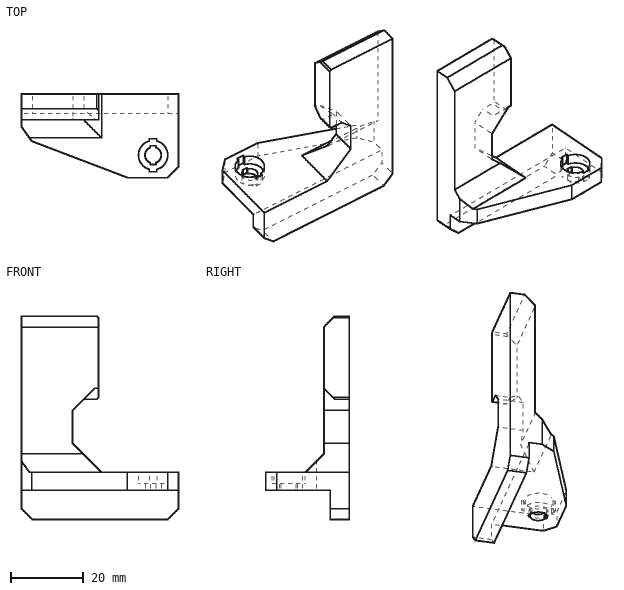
import cadquery as cq

WIDTH = 43.1
DEPTH = 23.0
HEIGHT = 55.8
BEVEL = 3.0

FOOT_THICKNESS = 5.3
SHELF_BOTTOM = 8.0
SHELF_THICKNESS = 5.0
SHELF_TOP = SHELF_BOTTOM + SHELF_THICKNESS
SIDE_DEPTH = 9.05
CORNER_X = 2.85
CORNER_DEPTH = 13.0
FRONT_EDGE_START = 29.05

UPRIGHT_THICKNESS = 7.05
GUSSET_SIZE = 5.0
WAIST_WIDTH = 14.05
WAIST_BOTTOM = 20.9
WAIST_TOP = 29.95

HEAD_WIDTH = 21.15
HEAD_BOTTOM = 33.0
HEAD_CORNER = 0.5

HOLE_X = 36.1
HOLE_Y = -16.8
BORE_DIAMETER = 4.4
BORE_KEY_WIDTH = 1.5
BORE_KEY_LENGTH = 5.0
RECESS_DIAMETER = 8.05
RECESS_KEY_WIDTH = 2.0
RECESS_KEY_LENGTH = 9.1
RECESS_DEPTH = 3.0


def extrude_forward(points, depth):
    """Extrude an (X, Z) outline from the back face toward -Y."""
    return cq.Workplane("XZ").polyline(points).close().extrude(depth)


def extrude_across(points, width):
    """Extrude a (Y, Z) outline from the left edge toward +X."""
    return cq.Workplane("YZ").polyline(points).close().extrude(width)


def make_foot():
    outline = [
        (BEVEL, 0),
        (WIDTH - BEVEL, 0),
        (WIDTH, BEVEL),
        (WIDTH, SHELF_TOP),
        (0, SHELF_TOP),
        (0, BEVEL),
    ]
    return extrude_forward(outline, FOOT_THICKNESS)


def make_plan(bottom, height):
    """Prism with the plan outline of the shelf."""
    outline = [
        (0, 0),
        (0, -SIDE_DEPTH),
        (CORNER_X, -CORNER_DEPTH),
        (FRONT_EDGE_START, -DEPTH),
        (WIDTH - BEVEL, -DEPTH),
        (WIDTH, -DEPTH + BEVEL),
        (WIDTH, 0),
    ]
    return cq.Workplane("XY").workplane(offset=bottom).polyline(outline).close().extrude(height)


def make_upright():
    """Waisted column with 45 degree flares, a top bevel and a front gusset."""
    flare_x = WAIST_WIDTH + WAIST_BOTTOM - SHELF_TOP
    front_outline = [
        (0, SHELF_BOTTOM),
        (flare_x, SHELF_BOTTOM),
        (flare_x, SHELF_TOP),
        (WAIST_WIDTH, WAIST_BOTTOM),
        (WAIST_WIDTH, WAIST_TOP),
        (HEAD_WIDTH, WAIST_TOP + HEAD_WIDTH - WAIST_WIDTH),
        (HEAD_WIDTH, HEIGHT),
        (0, HEIGHT),
    ]
    gusset_front = UPRIGHT_THICKNESS + GUSSET_SIZE
    side_outline = [
        (0, SHELF_BOTTOM),
        (-gusset_front, SHELF_BOTTOM),
        (-gusset_front, SHELF_TOP),
        (-UPRIGHT_THICKNESS, SHELF_TOP + GUSSET_SIZE),
        (-UPRIGHT_THICKNESS, HEIGHT - BEVEL),
        (-UPRIGHT_THICKNESS + BEVEL, HEIGHT),
        (0, HEIGHT),
    ]
    column = extrude_forward(front_outline, gusset_front)
    column = column.intersect(extrude_across(side_outline, WIDTH))
    return column.intersect(make_plan(0, HEIGHT)).cut(make_head_corner_cutter())


def make_head_corner_cutter():
    """Wedge that bevels the top right corner of the head."""
    outline = [
        (HEAD_WIDTH - HEAD_CORNER, HEIGHT),
        (HEAD_WIDTH, HEIGHT),
        (HEAD_WIDTH, HEIGHT - HEAD_CORNER),
    ]
    return extrude_forward(outline, UPRIGHT_THICKNESS)


def make_head():
    """Head block with bevelled front edges and small right corner bevels."""
    front_outline = [
        (0, HEAD_BOTTOM),
        (HEAD_WIDTH - HEAD_CORNER, HEAD_BOTTOM),
        (HEAD_WIDTH, HEAD_BOTTOM + HEAD_CORNER),
        (HEAD_WIDTH, HEIGHT - HEAD_CORNER),
        (HEAD_WIDTH - HEAD_CORNER, HEIGHT),
        (0, HEIGHT),
    ]
    side_outline = [
        (0, HEAD_BOTTOM),
        (-UPRIGHT_THICKNESS + BEVEL, HEAD_BOTTOM),
        (-UPRIGHT_THICKNESS, HEAD_BOTTOM + BEVEL),
        (-UPRIGHT_THICKNESS, HEIGHT - BEVEL),
        (-UPRIGHT_THICKNESS + BEVEL, HEIGHT),
        (0, HEIGHT),
    ]
    head = extrude_forward(front_outline, UPRIGHT_THICKNESS)
    return head.intersect(extrude_across(side_outline, WIDTH))


def make_keyed_hole(diameter, key_width, key_length, depth):
    """Cutter going down from the shelf top: a round hole with two opposite keyways."""
    top = cq.Workplane("XY", origin=(HOLE_X, HOLE_Y, SHELF_TOP))
    return top.circle(diameter / 2).extrude(-depth).union(top.rect(key_width, key_length).extrude(-depth))


shelf = make_plan(SHELF_BOTTOM, SHELF_THICKNESS)
shelf = shelf.cut(make_keyed_hole(RECESS_DIAMETER, RECESS_KEY_WIDTH, RECESS_KEY_LENGTH, RECESS_DEPTH))
shelf = shelf.cut(make_keyed_hole(BORE_DIAMETER, BORE_KEY_WIDTH, BORE_KEY_LENGTH, SHELF_THICKNESS))

result = make_foot().union(shelf).union(make_upright()).union(make_head()).clean()